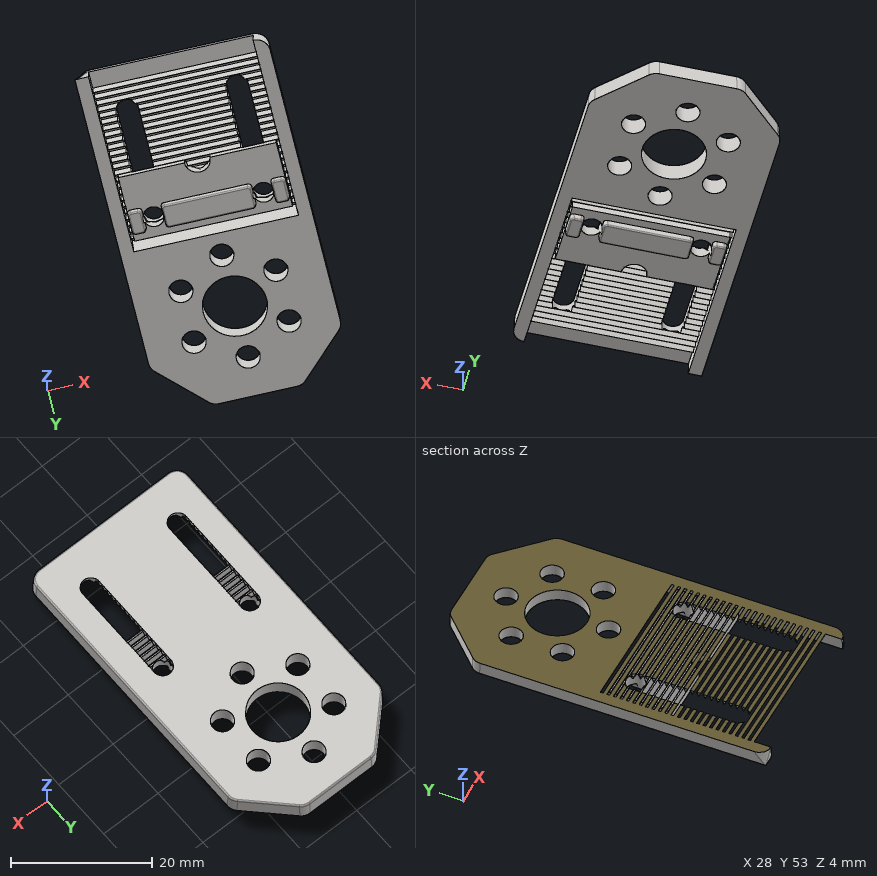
import cadquery as cq
import math

COVER_WIDTH = 28.0
COVER_LENGTH = 53.0
COVER_HEIGHT = 3.0
NOSE_CHAMFER = 7.5
CORNER_RADIUS = 2.0
TOP_EDGE_RADIUS = 0.25
COVER_DRAFT = 2.5
BLEND_STEPS = 6
BLEND_START_RADIUS = 0.02
BLEND_CLEARANCE = 0.5

BORE_DIAMETER = 9.2
BORE_Y = 39.0
BOLT_HOLE_DIAMETER = 3.4
BOLT_CIRCLE_DIAMETER = 16.0
BOLT_HOLE_COUNT = 6

SLOT_SPACING = 16.0
SLOT_WIDTH = 3.0
SLOT_FRONT_Y = 7.0
SLOT_BACK_Y = 23.0
SLOT_DRAFT = 5.0

TOOTH_PITCH = 1.0
TOOTH_FLAT = 0.25
FLANK_ANGLE = 65.0
FLANK_SLOPE = math.tan(math.radians(FLANK_ANGLE))
TOOTH_RUN = (TOOTH_PITCH - TOOTH_FLAT) / 2
TOOTH_HEIGHT = TOOTH_RUN * FLANK_SLOPE

RAIL_WIDTH = 2.0
CHANNEL_WIDTH = COVER_WIDTH - 2 * RAIL_WIDTH
CHANNEL_DEPTH = 2.0
COVER_FIRST_TIP_Y = 3.0
COVER_TOOTH_COUNT = 24

SLIDER_FRONT_Y = 16.0
SLIDER_TOOTH_COUNT = 10
SLIDER_BACK_Y = SLIDER_FRONT_Y + SLIDER_TOOTH_COUNT * TOOTH_PITCH
SLIDER_WIDTH = 23.05
SLIDER_DRAFT = 1.0
SLIDER_ROOT_Z = 1.1
NOTCH_RADIUS = 1.85

KEY_LENGTH = 3.55
KEY_HEIGHT = 1.0
KEY_ROW_WIDTH = 23.0
KEY_GAP = 2.8
KEY_DRAFT = 5.0
KEY_CORNER_RADIUS = 0.5
KEY_EDGE_RADIUS = 0.2


def draft_offset(height, angle):
    """Sideways shift of a drafted wall over the given height."""
    return height * math.tan(math.radians(angle))


def extrude_across(points, width):
    """Extrude a Y-Z outline symmetrically about the X = 0 plane."""
    return cq.Workplane("YZ").polyline(points).close().extrude(width / 2, both=True)


def corner_blend_cutter():
    """Waste outside a corner round that grows from nothing at the base to full radius at the top."""
    corner_x = -COVER_WIDTH / 2
    wires = []
    for i in range(BLEND_STEPS + 1):
        fraction = i / BLEND_STEPS
        z = fraction * COVER_HEIGHT
        inset = draft_offset(z, COVER_DRAFT)
        radius = max(CORNER_RADIUS * math.sin(math.pi / 2 * fraction), BLEND_START_RADIUS)
        arc_inset = radius * (1 - math.sqrt(0.5))
        section = (
            cq.Workplane("XY", origin=(corner_x + inset, inset, z))
            .moveTo(-BLEND_CLEARANCE, -BLEND_CLEARANCE)
            .lineTo(radius, -BLEND_CLEARANCE)
            .lineTo(radius, 0)
            .threePointArc((arc_inset, arc_inset), (0, radius))
            .lineTo(-BLEND_CLEARANCE, radius)
            .close()
        )
        wires.append(section.val())
    return cq.Workplane(cq.Solid.makeLoft(wires))


def cover_blank():
    half_width = COVER_WIDTH / 2
    outline = [
        (-half_width, 0),
        (half_width, 0),
        (half_width, COVER_LENGTH - NOSE_CHAMFER),
        (half_width - NOSE_CHAMFER, COVER_LENGTH),
        (-half_width + NOSE_CHAMFER, COVER_LENGTH),
        (-half_width, COVER_LENGTH - NOSE_CHAMFER),
    ]
    blank = cq.Workplane("XY").polyline(outline).close().extrude(COVER_HEIGHT, taper=COVER_DRAFT)
    front_left = cq.selectors.NearestToPointSelector((-half_width, 0, COVER_HEIGHT / 2))
    rounded_corners = cq.selectors.StringSyntaxSelector("not #Z") - front_left
    blank = blank.edges(rounded_corners).fillet(CORNER_RADIUS).cut(corner_blend_cutter())
    return blank.faces(">Z").edges().fillet(TOP_EDGE_RADIUS)


def channel():
    """Open at the front; sharp teeth hang from its ceiling; the back wall slopes like a tooth flank."""
    tip_z = CHANNEL_DEPTH - TOOTH_HEIGHT
    points = [(0, 0), (0, CHANNEL_DEPTH)]
    for i in range(COVER_TOOTH_COUNT):
        tip_y = COVER_FIRST_TIP_Y + i * TOOTH_PITCH
        points.append((tip_y - TOOTH_RUN, CHANNEL_DEPTH))
        points.append((tip_y, tip_z))
        points.append((tip_y + TOOTH_RUN, CHANNEL_DEPTH))
    back_wall_top_y = COVER_FIRST_TIP_Y + COVER_TOOTH_COUNT * TOOTH_PITCH - TOOTH_RUN
    points.append((back_wall_top_y, CHANNEL_DEPTH))
    points.append((back_wall_top_y + CHANNEL_DEPTH / FLANK_SLOPE, 0))
    return extrude_across(points, CHANNEL_WIDTH)


def cover_holes():
    bore = cq.Workplane("XY").center(0, BORE_Y).circle(BORE_DIAMETER / 2).extrude(COVER_HEIGHT)
    bolts = (
        cq.Workplane("XY")
        .center(0, BORE_Y)
        .polarArray(BOLT_CIRCLE_DIAMETER / 2, 90, 360, BOLT_HOLE_COUNT)
        .circle(BOLT_HOLE_DIAMETER / 2)
        .extrude(COVER_HEIGHT)
    )
    slots = (
        cq.Workplane("XY", origin=(0, (SLOT_FRONT_Y + SLOT_BACK_Y) / 2, COVER_HEIGHT))
        .rarray(SLOT_SPACING, 1, 2, 1)
        .slot2D(SLOT_BACK_Y - SLOT_FRONT_Y + SLOT_WIDTH, SLOT_WIDTH, 90)
        .extrude(-COVER_HEIGHT, taper=-SLOT_DRAFT)
    )
    return bore.add(bolts).add(slots).combine()


def make_cover():
    return cover_blank().cut(channel()).cut(cover_holes())


def slider_plate():
    """Block with flat-topped teeth; its front and sides lean inwards towards the top."""
    tip_z = SLIDER_ROOT_Z + TOOTH_HEIGHT
    points = [(SLIDER_FRONT_Y, 0)]
    for i in range(SLIDER_TOOTH_COUNT):
        root_y = SLIDER_FRONT_Y + i * TOOTH_PITCH
        points.append((root_y, SLIDER_ROOT_Z))
        points.append((root_y + TOOTH_RUN, tip_z))
        points.append((root_y + TOOTH_RUN + TOOTH_FLAT, tip_z))
    points.append((SLIDER_BACK_Y, SLIDER_ROOT_Z))
    points.append((SLIDER_BACK_Y, 0))
    drafted_block = (
        cq.Workplane("XY")
        .center(0, (SLIDER_FRONT_Y + SLIDER_BACK_Y) / 2)
        .rect(SLIDER_WIDTH, SLIDER_BACK_Y - SLIDER_FRONT_Y)
        .extrude(tip_z, taper=SLIDER_DRAFT)
    )
    return drafted_block.intersect(extrude_across(points, SLIDER_WIDTH))


def key(left_x, right_x):
    return (
        cq.Workplane("XY")
        .center((left_x + right_x) / 2, SLOT_BACK_Y)
        .rect(right_x - left_x, KEY_LENGTH)
        .extrude(-KEY_HEIGHT, taper=KEY_DRAFT)
        .edges("not #Z")
        .fillet(KEY_CORNER_RADIUS)
        .faces("<Z")
        .edges()
        .fillet(KEY_EDGE_RADIUS)
    )


def make_slider():
    slider = slider_plate()
    inner_edge = (SLOT_SPACING - KEY_GAP) / 2
    outer_edge = (SLOT_SPACING + KEY_GAP) / 2
    row_end = KEY_ROW_WIDTH / 2
    for left_x, right_x in [(-row_end, -outer_edge), (-inner_edge, inner_edge), (outer_edge, row_end)]:
        slider = slider.union(key(left_x, right_x))

    slider_height = KEY_HEIGHT + SLIDER_ROOT_Z + TOOTH_HEIGHT
    screw_holes = (
        cq.Workplane("XY", origin=(0, SLOT_BACK_Y, -KEY_HEIGHT))
        .rarray(SLOT_SPACING, 1, 2, 1)
        .circle(SLOT_WIDTH / 2)
        .extrude(slider_height)
    )
    notch = cq.Workplane("XY").center(0, SLIDER_FRONT_Y).circle(NOTCH_RADIUS).extrude(slider_height)
    return slider.cut(screw_holes).cut(notch)


cover = make_cover()
slider = make_slider()
result = cq.Compound.makeCompound([cover.val(), slider.val()])